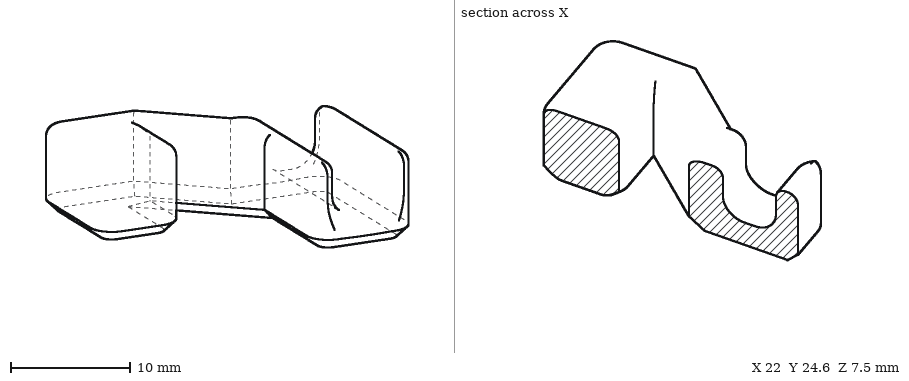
import cadquery as cq

height = 7.5
corner_radius = 2.0
top_radius = 1.0
bottom_chamfer = 1.0

foot_length = 12.0
foot_width = 7.8

cradle_left = 5.5
cradle_right = 22.0
gap = 7.5
wall = 2.15
channel_width = 5.0
channel_floor = 2.5
channel_radius = 2.0
mouth_radius = 2.0

cradle_front = foot_width + gap
channel_front = cradle_front + wall
channel_back = channel_front + channel_width
cradle_back = channel_back + wall

arm_foot_x = 5.5
arm_cradle_x = foot_length
arm_slope = gap / (arm_cradle_x - arm_foot_x)
arm_left_y = cradle_front - arm_slope * cradle_left


def make_body():
    """Foot, arm and cradle in one outline, with rounded and bevelled edges."""
    body = (
        cq.Workplane("XY")
        .moveTo(0, 0)
        .lineTo(foot_length, 0)
        .lineTo(foot_length, foot_width)
        .lineTo(arm_foot_x, foot_width)
        .lineTo(arm_cradle_x, cradle_front)
        .lineTo(cradle_right, cradle_front)
        .lineTo(cradle_right, cradle_back)
        .lineTo(cradle_left, cradle_back)
        .lineTo(cradle_left, cradle_front)
        .lineTo(0, arm_left_y)
        .close()
        .extrude(height)
    )
    rounded_corners = [
        (0, 0),
        (foot_length, 0),
        (foot_length, foot_width),
        (cradle_right, cradle_front),
        (cradle_right, cradle_back),
        (cradle_left, cradle_back),
    ]
    for x, y in rounded_corners:
        corner_edge = cq.selectors.NearestToPointSelector((x, y, height / 2))
        body = body.edges("|Z").edges(corner_edge).fillet(corner_radius)
    body = body.faces("<Z").edges().chamfer(bottom_chamfer)
    return body.faces(">Z").edges().fillet(top_radius)


def make_channel():
    """Channel volume, widening smoothly at both ends and at its top lips."""
    cradle_length = cradle_right - cradle_left
    block = (
        cq.Workplane("XY", origin=(cradle_left, cradle_front, 0))
        .box(cradle_length, cradle_back - cradle_front, height, centered=False)
    )
    slot = (
        cq.Workplane("XY", origin=(cradle_left, channel_front, channel_floor))
        .box(cradle_length, channel_width, height, centered=False)
        .faces("<Z")
        .edges("|X")
        .fillet(channel_radius)
    )
    grooved = block.cut(slot)

    margin = wall / 4
    around_channel = cq.selectors.BoxSelector(
        (cradle_left - margin, channel_front - margin, channel_floor - margin),
        (cradle_right + margin, channel_back + margin, height + margin),
    )
    grooved = grooved.faces("<X or >X").edges(around_channel).fillet(mouth_radius)
    grooved = grooved.faces(">Z").edges("|X").edges(around_channel).fillet(top_radius)
    return block.cut(grooved)


result = make_body().cut(make_channel())